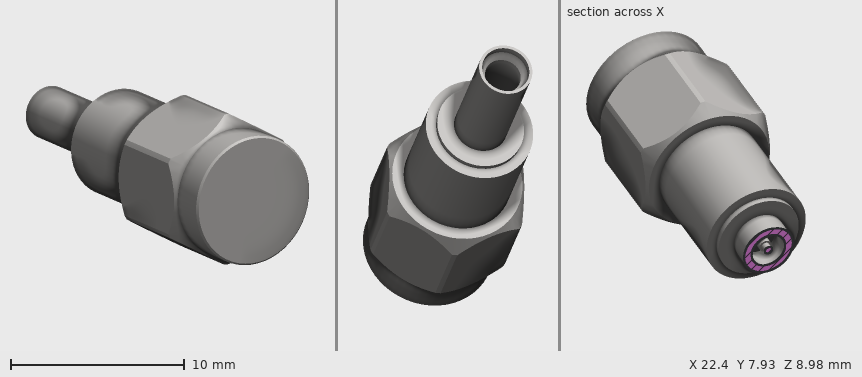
import cadquery as cq
import math

overall_length = 22.4

tube_radius = 1.57
tube_end = 7.2

shoulder_radius = 2.55
shoulder_end = 7.53
body_radius = 3.15
body_end = 13.87

nut_end = 20.27
nut_across_flats = 7.93
nut_across_corners = 8.98
nut_corner_radius = nut_across_corners / 2
nut_chamfer_length = 0.8

collar_radius = 3.83
collar_edge_chamfer = 0.11

entry_radius = 1.4
entry_depth = 0.5
bore_radius = 1.05
bore_depth = tube_end

contact_radius = 0.38
pin_radius = 0.25
point_radius = 0.13
pin_tip = bore_depth - 1.8
contact_start = bore_depth - 0.9


def cylinder(start, end, radius):
    """Solid cylinder on the X axis."""
    return cq.Workplane("YZ").workplane(offset=start).circle(radius).extrude(end - start)


def revolve_profile(points):
    """Revolve an (x, radius) outline about the X axis."""
    axis_start = (0, 0, 0)
    axis_end = (1, 0, 0)
    return cq.Workplane("XY").polyline(points).close().revolve(360, axis_start, axis_end)


def make_nut():
    """Hexagon with corners along Z, trimmed by a double-chamfered cylinder."""
    sharp_across_corners = nut_across_flats / math.cos(math.radians(30))
    hexagon = (
        cq.Workplane("YZ")
        .workplane(offset=body_end)
        .transformed(rotate=(0, 0, 90))
        .polygon(6, sharp_across_corners)
        .extrude(nut_end - body_end)
    )
    envelope = revolve_profile([
        (body_end, 0),
        (body_end, collar_radius),
        (body_end + nut_chamfer_length, nut_corner_radius),
        (nut_end - nut_chamfer_length, nut_corner_radius),
        (nut_end, collar_radius),
        (nut_end, 0),
    ])
    return hexagon.intersect(envelope)


def make_bore():
    """Wide entry, 45 degree step and narrower blind bore."""
    step_end = entry_depth + entry_radius - bore_radius
    return revolve_profile([
        (0, 0),
        (0, entry_radius),
        (entry_depth, entry_radius),
        (step_end, bore_radius),
        (bore_depth, bore_radius),
        (bore_depth, 0),
    ])


def make_contact():
    """Stepped pin that tapers to a 45 degree point."""
    step_end = pin_tip + point_radius
    return revolve_profile([
        (pin_tip, 0),
        (step_end, point_radius),
        (step_end, pin_radius),
        (contact_start, pin_radius),
        (contact_start, contact_radius),
        (bore_depth, contact_radius),
        (bore_depth, 0),
    ])


tube = cylinder(0, tube_end, tube_radius)
shoulder = cylinder(tube_end, shoulder_end, shoulder_radius)
body = cylinder(shoulder_end, body_end, body_radius)
collar = cylinder(nut_end, overall_length, collar_radius).faces(">X").chamfer(collar_edge_chamfer)

result = tube.union(shoulder).union(body).union(make_nut()).union(collar)
result = result.cut(make_bore()).union(make_contact())